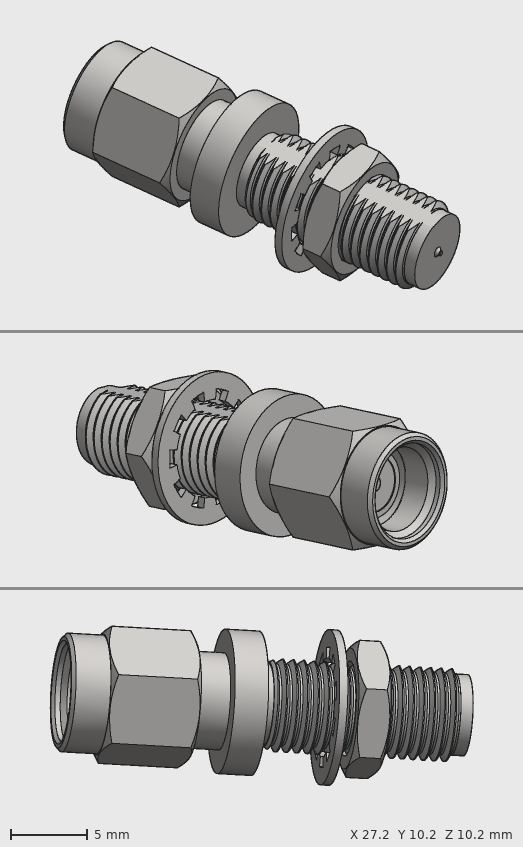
import cadquery as cq
import math


hex_start_x = 2.55
hex_end_x = 8.58
flange_start_x = 10.68
flange_end_x = 12.92
thread_start_x = 13.68
collar_start_x = 26.13
collar_end_x = 26.95
overall_length = 27.25

hood_radius = 3.9
hood_chamfer = 0.25
neck_radius = 3.2
flange_radius = 4.75
relief_radius = 2.65
collar_radius = 2.67
flat_height = 2.62

hex_across_flats = 8.0
hex_corner_radius = hex_across_flats / math.sqrt(3)
hex_chamfer_length = 0.38
hex_chamfer_angle = 30.0

mouth_radius = 3.2
mouth_chamfer = 0.22
mouth_depth = 0.57
bore_radius = 2.8
bore_depth = 2.95
clearance_radius = 2.9
clearance_depth = 4.03

sleeve_end_x = 2.95
sleeve_radius = 2.25
insulator_radius = 1.85
insulator_recess = 0.08
contact_radius = 0.5
contact_recess = 0.03

first_crest_x = 14.47
last_crest_x = 25.72
pitch_count = 16
thread_pitch = (last_crest_x - first_crest_x) / pitch_count
crest_radius = 3.1
root_radius = 2.7
crest_width = 0.08
flank_angle = 60.0
flank_length = (crest_radius - root_radius) / math.tan(math.radians(flank_angle))
thread_lead_radius = 2.75

tip_base_radius = 0.35
tip_end_radius = 0.15
tip_cone_length = 0.22

washer_start_x = 17.58
washer_thickness = 0.55
washer_radius = 5.1
washer_bore_radius = 3.27
notch_radius = 3.95
notch_count = 10
notch_half_angle = 8.8

nut_start_x = 19.08
nut_length = 2.15


def revolve_about_x(points):
    """Solid of revolution from a closed (x, radius) profile."""
    return cq.Workplane("XY").polyline(points).close().revolve(360, (0, 0, 0), (1, 0, 0))


def cylinder(start_x, length, radius):
    """Cylinder on the X axis."""
    return cq.Workplane("YZ", origin=(start_x, 0, 0)).circle(radius).extrude(length)


def chamfered_hexagon(start_x, length):
    """Hexagonal prism, flats up and down, with its corners chamfered at both ends."""
    prism = (
        cq.Workplane("YZ", origin=(start_x, 0, 0))
        .polygon(6, 2 * hex_corner_radius)
        .extrude(length)
    )
    end_x = start_x + length
    drop = hex_chamfer_length / math.tan(math.radians(hex_chamfer_angle))
    face_radius = hex_corner_radius - drop
    envelope = revolve_about_x([
        (start_x, 0),
        (start_x, face_radius),
        (start_x + hex_chamfer_length, hex_corner_radius),
        (end_x - hex_chamfer_length, hex_corner_radius),
        (end_x, face_radius),
        (end_x, 0),
    ])
    return prism.intersect(envelope)


def thread_points():
    """Profile of the thread rings, from the lead chamfer to the last root."""
    lead_crest_x = first_crest_x - thread_pitch
    half_crest = crest_width / 2
    flank_slope = math.tan(math.radians(flank_angle))
    lead_x = (
        crest_radius - thread_lead_radius + thread_start_x
        + flank_slope * (lead_crest_x + half_crest)
    ) / (1 + flank_slope)
    lead_radius = thread_lead_radius + lead_x - thread_start_x
    points = [
        (thread_start_x, thread_lead_radius),
        (lead_x, lead_radius),
        (lead_crest_x + half_crest + flank_length, root_radius),
    ]
    for ring in range(pitch_count + 1):
        crest_x = first_crest_x + ring * thread_pitch
        points += [
            (crest_x - half_crest - flank_length, root_radius),
            (crest_x - half_crest, crest_radius),
            (crest_x + half_crest, crest_radius),
            (crest_x + half_crest + flank_length, root_radius),
        ]
    return points


def threaded_barrel():
    """Relief, thread and end collar behind the flange, with one long flat on top."""
    barrel = revolve_about_x([
        (flange_end_x, 0),
        (flange_end_x, relief_radius),
        (thread_start_x, relief_radius),
        *thread_points(),
        (collar_start_x, root_radius),
        (collar_start_x, collar_radius),
        (collar_end_x, collar_radius),
        (collar_end_x, 0),
    ])
    barrel_length = collar_end_x - flange_end_x
    above_flat = (
        cq.Workplane("XY", origin=(flange_end_x, 0, flat_height))
        .rect(2 * barrel_length, 2 * crest_radius)
        .extrude(crest_radius)
    )
    return barrel.cut(above_flat)


def contact_tip():
    """Pointed end of the center contact, standing out of the collar."""
    cone_end_x = collar_end_x + tip_cone_length
    return revolve_about_x([
        (collar_end_x, 0),
        (collar_end_x, tip_base_radius),
        (cone_end_x, tip_end_radius),
        (overall_length, tip_end_radius),
        (overall_length, 0),
    ])


def socket():
    """Space inside the coupling nut: stepped mouth, bore and clearance, less the sleeve in the middle."""
    cone_end_x = mouth_depth + mouth_radius - bore_radius
    insulator_x = sleeve_end_x + insulator_recess
    contact_x = insulator_x + contact_recess
    return revolve_about_x([
        (0, 0),
        (0, mouth_radius + mouth_chamfer),
        (mouth_chamfer, mouth_radius),
        (mouth_depth, mouth_radius),
        (cone_end_x, bore_radius),
        (bore_depth, bore_radius),
        (bore_depth, clearance_radius),
        (clearance_depth, clearance_radius),
        (clearance_depth, sleeve_radius),
        (sleeve_end_x, sleeve_radius),
        (sleeve_end_x, insulator_radius),
        (insulator_x, insulator_radius),
        (insulator_x, contact_radius),
        (contact_x, contact_radius),
        (contact_x, 0),
    ])


def make_connector():
    """Coupling nut, neck, flange and threaded barrel in one piece."""
    hood = cylinder(0, hex_start_x, hood_radius).faces("<X").chamfer(hood_chamfer)
    neck = cylinder(hex_end_x, flange_start_x - hex_end_x, neck_radius)
    flange = cylinder(flange_start_x, flange_end_x - flange_start_x, flange_radius)
    return (
        chamfered_hexagon(hex_start_x, hex_end_x - hex_start_x)
        .union(hood)
        .union(neck)
        .union(flange)
        .union(threaded_barrel())
        .union(contact_tip())
        .cut(socket())
    )


def washer_notch():
    """Wedge cut outward from the washer bore, centered on +Y."""
    half_angle = math.radians(notch_half_angle)
    side_y = notch_radius * math.cos(half_angle)
    side_z = notch_radius * math.sin(half_angle)
    return (
        cq.Workplane("YZ", origin=(washer_start_x, 0, 0))
        .lineTo(side_y, -side_z)
        .threePointArc((notch_radius, 0), (side_y, side_z))
        .close()
        .extrude(washer_thickness)
    )


def make_lock_washer():
    """Thin washer with inner teeth left between evenly spaced notches."""
    washer = cylinder(washer_start_x, washer_thickness, washer_radius)
    washer = washer.cut(cylinder(washer_start_x, washer_thickness, washer_bore_radius))
    notch = washer_notch()
    for index in range(notch_count):
        angle = index * 360 / notch_count
        washer = washer.cut(notch.rotate((0, 0, 0), (1, 0, 0), angle))
    return washer


def make_lock_nut():
    """Hexagonal nut whose bore rests on the thread crests."""
    bore = cylinder(nut_start_x, nut_length, crest_radius)
    return chamfered_hexagon(nut_start_x, nut_length).cut(bore)


connector = make_connector()
lock_washer = make_lock_washer()
lock_nut = make_lock_nut()

result = cq.Compound.makeCompound([connector.val(), lock_washer.val(), lock_nut.val()])